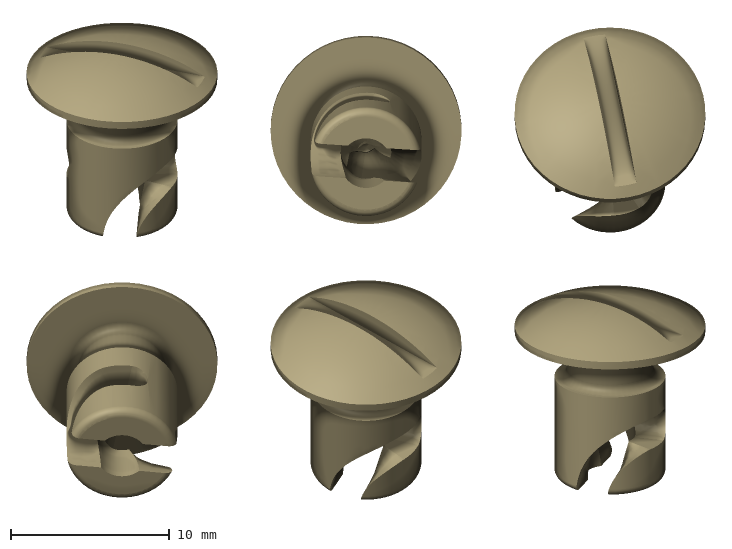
import cadquery as cq
import math

total_height = 12.0
head_radius = 6.0
rim_height = 0.5
dome_height = 1.7

body_radius = 3.49
body_height = 6.8
neck_radius = 2.75
neck_fillet = 0.5
bottom_fillet = 0.5

driver_width = 1.38
driver_floor_z = 10.68

bore_radius = 1.6
bore_tip_z = 4.8
bore_tip_half_angle = 59.0

cam_half_width = 1.05
cam_level_z = 3.84
cam_end_angle = -21.0
cam_bend_angle = 6.5
cam_bend_radius = 4.08
cam_clearance = 0.6
cam_inner_reach = 0.36
cam_outer_reach = body_radius + cam_clearance
cam_exit_z = -1.44

curve_steps = 16


def make_blank():
    """Domed head, neck and shank, revolved about Z."""
    rim_top = total_height - dome_height
    head_bottom = rim_top - rim_height
    dome_radius = (head_radius**2 + dome_height**2) / (2 * dome_height)
    dome_center_z = total_height - dome_radius
    half_angle = math.asin(head_radius / dome_radius) / 2
    dome_middle = (
        dome_radius * math.sin(half_angle),
        dome_center_z + dome_radius * math.cos(half_angle),
    )
    fillet_edge = neck_radius + neck_fillet
    return (
        cq.Workplane("XZ")
        .lineTo(body_radius - bottom_fillet, 0)
        .radiusArc((body_radius, bottom_fillet), -bottom_fillet)
        .lineTo(body_radius, body_height)
        .lineTo(fillet_edge, body_height)
        .radiusArc((neck_radius, body_height + neck_fillet), neck_fillet)
        .lineTo(neck_radius, head_bottom - neck_fillet)
        .radiusArc((fillet_edge, head_bottom), neck_fillet)
        .lineTo(head_radius, head_bottom)
        .lineTo(head_radius, rim_top)
        .threePointArc(dome_middle, (0, total_height))
        .close()
        .revolve(360, (0, 0, 0), (0, 1, 0))
    )


def make_driver_slot():
    """Screwdriver slot along X, open across the whole dome."""
    return (
        cq.Workplane("XY", origin=(0, 0, driver_floor_z))
        .rect(2 * head_radius, driver_width)
        .extrude(total_height - driver_floor_z)
    )


def make_bore():
    """Drilled hole with a conical tip."""
    shoulder_z = bore_tip_z - bore_radius / math.tan(math.radians(bore_tip_half_angle))
    return (
        cq.Workplane("XZ")
        .lineTo(bore_radius, 0)
        .lineTo(bore_radius, shoulder_z)
        .lineTo(0, bore_tip_z)
        .close()
        .revolve(360, (0, 0, 0), (0, 1, 0))
    )


def cam_point(reach, angle, sideways, z):
    """Point at a reach along the radial cutter axis; angle 0 faces -X and grows toward +Y."""
    return cq.Vector(
        -reach * math.cos(angle) + sideways * math.sin(angle),
        reach * math.sin(angle) + sideways * math.cos(angle),
        z,
    )


def cam_outline(reach):
    """Closed loop of edges of the cam slot at one distance along the cutter axis."""
    end_angle = math.radians(cam_end_angle)
    bend_start = math.radians(cam_bend_angle)
    bend_end = bend_start + cam_bend_radius / body_radius
    bend_center_z = cam_level_z - cam_bend_radius

    def level_point(side, fraction):
        angle = end_angle + fraction * (bend_start - end_angle)
        return cam_point(reach, angle, 0, cam_level_z + side * cam_half_width)

    def bend_point(side, fraction):
        turn = fraction * math.pi / 2
        angle = bend_start + cam_bend_radius * math.sin(turn) / body_radius
        sideways = side * cam_half_width * math.sin(turn)
        z = bend_center_z + (cam_bend_radius + side * cam_half_width) * math.cos(turn)
        return cam_point(reach, angle, sideways, z)

    def exit_point(side):
        return cam_point(reach, bend_end, side * cam_half_width, cam_exit_z)

    def curve(point, side):
        return cq.Edge.makeSpline([point(side, i / curve_steps) for i in range(curve_steps + 1)])

    round_end = cq.Edge.makeThreePointArc(
        level_point(-1, 0),
        cam_point(reach, end_angle, -cam_half_width, cam_level_z),
        level_point(1, 0),
    )
    edges = [round_end, cq.Edge.makeLine(exit_point(1), exit_point(-1))]
    for side in (1, -1):
        edges.append(curve(level_point, side))
        edges.append(curve(bend_point, side))
        edges.append(cq.Edge.makeLine(bend_point(side, 1), exit_point(side)))
    return edges


def make_cam_slot():
    """Ruled walls from near the axis to outside the shank, closed by two fitted caps."""
    inner = cam_outline(cam_inner_reach)
    outer = cam_outline(cam_outer_reach)
    walls = [cq.Face.makeRuledSurface(a, b) for a, b in zip(inner, outer)]
    caps = [cq.Face.makeNSidedSurface(loop, []) for loop in (inner, outer)]
    sewn = cq.Shell.makeShell(walls + caps)
    return cq.Workplane(cq.Solid.makeSolid(sewn))


result = make_blank().cut(make_driver_slot()).cut(make_bore())
cam_slot = make_cam_slot()
for turn in (0, 180):
    result = result.cut(cam_slot.rotate((0, 0, 0), (0, 0, 1), turn))